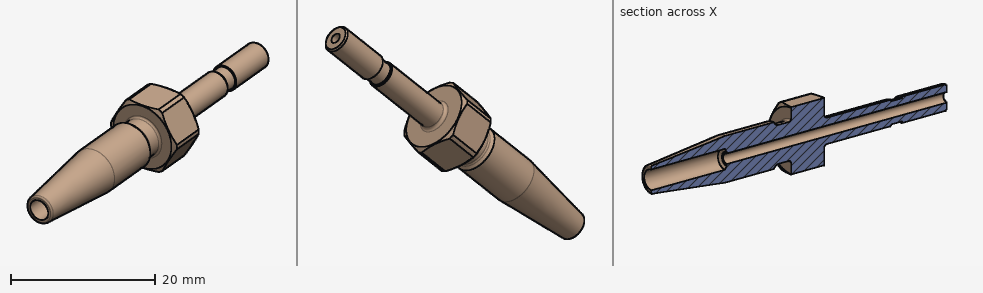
import cadquery as cq
import math

length = 53.0

tip_diameter = 4.3
tip_fillet = 0.25
body_diameter = 7.0
taper_end = 13.2
shoulder_start = 21.95

neck_diameter = 5.85
shoulder_fillet = 0.4

nut_start = 25.0
nut_length = 6.05
nut_end = nut_start + nut_length
across_flats = 10.0
corner_diameter = 11.2
nut_face_diameter = 9.8
nut_chamfer_length = 0.35
neck_fillet = 0.3
stem_fillet = 0.5

stem_diameter = 4.0
stem_groove_diameter = 3.5
groove_start = 43.05
groove_end = 44.95
groove_chamfer = 0.15
stem_end_chamfer = 0.24

through_diameter = 1.5
socket_diameter = 3.0
socket_floor_diameter = 2.0
socket_depth = taper_end
drill_point_angle = 118.0


def make_turned_body():
    """Revolve the sleeve, neck and stem; the stretch at the nut lies inside the nut."""
    tip_radius = tip_diameter / 2
    body_radius = body_diameter / 2
    neck_radius = neck_diameter / 2
    stem_radius = stem_diameter / 2
    stem_groove_radius = stem_groove_diameter / 2
    diagonal = math.cos(math.radians(45))

    tip_arc_middle = (
        tip_radius - tip_fillet * (1 - diagonal),
        tip_fillet * (1 - diagonal),
    )

    shoulder_foot_radius = neck_radius + shoulder_fillet * (1 - diagonal)
    shoulder_foot = shoulder_start + body_radius - shoulder_foot_radius
    neck_start = shoulder_foot + shoulder_fillet * diagonal
    half_angle = math.radians(22.5)
    shoulder_arc_middle = (
        neck_radius + shoulder_fillet * (1 - math.cos(half_angle)),
        neck_start - shoulder_fillet * math.sin(half_angle),
    )

    neck_arc_middle = (
        neck_radius + neck_fillet * (1 - diagonal),
        nut_start - neck_fillet * (1 - diagonal),
    )
    stem_arc_middle = (
        stem_radius + stem_fillet * (1 - diagonal),
        nut_end + stem_fillet * (1 - diagonal),
    )

    profile = (
        cq.Workplane("XY")
        .moveTo(0, 0)
        .lineTo(tip_radius - tip_fillet, 0)
        .threePointArc(tip_arc_middle, (tip_radius, tip_fillet))
        .lineTo(body_radius, taper_end)
        .lineTo(body_radius, shoulder_start)
        .lineTo(shoulder_foot_radius, shoulder_foot)
        .threePointArc(shoulder_arc_middle, (neck_radius, neck_start))
        .lineTo(neck_radius, nut_start - neck_fillet)
        .threePointArc(neck_arc_middle, (neck_radius + neck_fillet, nut_start))
        .lineTo(neck_radius + neck_fillet, nut_end)
        .lineTo(stem_radius + stem_fillet, nut_end)
        .threePointArc(stem_arc_middle, (stem_radius, nut_end + stem_fillet))
        .lineTo(stem_radius, groove_start - groove_chamfer)
        .lineTo(stem_radius - groove_chamfer, groove_start)
        .lineTo(stem_groove_radius, groove_start)
        .lineTo(stem_groove_radius, groove_end)
        .lineTo(stem_radius, groove_end)
        .lineTo(stem_radius, length - stem_end_chamfer)
        .lineTo(stem_radius - stem_end_chamfer, length)
        .lineTo(0, length)
        .close()
    )
    return profile.revolve(360, (0, 0, 0), (0, 1, 0))


def make_nut():
    """Hexagon with flats facing +Z and -Z, corners turned round and both ends chamfered."""
    hexagon = (
        cq.Workplane("XZ", origin=(0, nut_start, 0))
        .polygon(6, across_flats, circumscribed=True)
        .extrude(-nut_length)
        .rotate((0, 0, 0), (0, 1, 0), 30)
    )
    face_radius = nut_face_diameter / 2
    corner_radius = corner_diameter / 2
    envelope = (
        cq.Workplane("XY")
        .moveTo(0, nut_start)
        .lineTo(face_radius, nut_start)
        .lineTo(corner_radius, nut_start + nut_chamfer_length)
        .lineTo(corner_radius, nut_end - nut_chamfer_length)
        .lineTo(face_radius, nut_end)
        .lineTo(0, nut_end)
        .close()
        .revolve(360, (0, 0, 0), (0, 1, 0))
    )
    return hexagon.intersect(envelope)


def make_bore():
    """Socket with a drill-point cone and a flat floor, then the bore through the whole part."""
    socket_radius = socket_diameter / 2
    floor_radius = socket_floor_diameter / 2
    half_point = math.radians(drill_point_angle / 2)
    floor_depth = socket_depth + (socket_radius - floor_radius) / math.tan(half_point)
    socket = (
        cq.Workplane("XY")
        .moveTo(0, 0)
        .lineTo(socket_radius, 0)
        .lineTo(socket_radius, socket_depth)
        .lineTo(floor_radius, floor_depth)
        .lineTo(0, floor_depth)
        .close()
        .revolve(360, (0, 0, 0), (0, 1, 0))
    )
    through_hole = cq.Workplane("XZ").circle(through_diameter / 2).extrude(-length)
    return socket.union(through_hole)


result = make_turned_body().union(make_nut()).cut(make_bore())